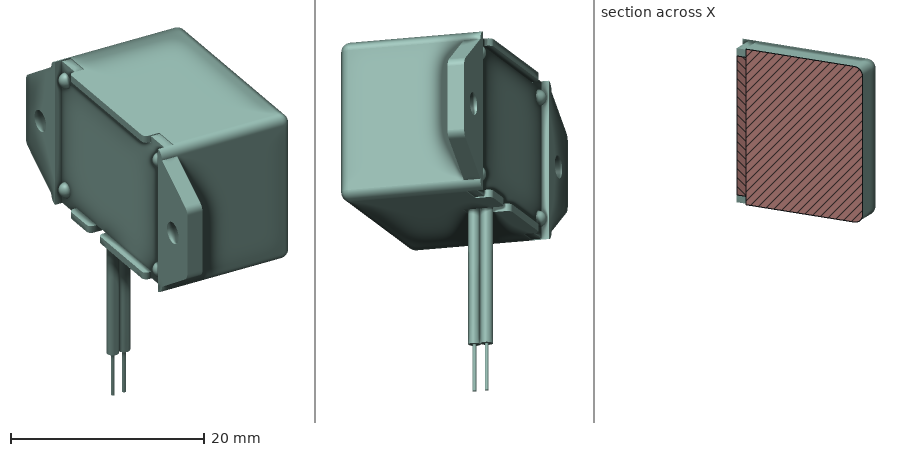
import cadquery as cq
import math

HOUSING_WIDTH = 23.0
HOUSING_DEPTH = 15.5
HOUSING_HEIGHT = 17.0
EDGE_RADIUS = 1.0
WALL = 0.8

OVERALL_WIDTH = 33.5
EAR_THICKNESS = 1.8
EAR_TIP_HEIGHT = 7.98
EAR_CORNER_RADIUS = 1.0
EAR_HOLE_DIAMETER = 2.4
EAR_HOLE_X = 13.75

LID_SETBACK = 0.8
LID_CLEARANCE = 0.1
DOME_RADIUS = 0.87
DOME_X = 9.75
DOME_Z = 6.5

TAB_WIDTH = 15.6
TAB_RADIUS = 0.55
TAB_SIDE_CLEARANCE = 0.05

OVERALL_HEIGHT = 36.25
SHEATH_DIAMETER = 1.3
CONDUCTOR_DIAMETER = 0.4
CONDUCTOR_LENGTH = 5.0
WIRE_X = -2.7
FIRST_WIRE_Y = 2.3
WIRE_SPACING = 1.35
WEB_THICKNESS = 0.3
SLOT_WIDTH = 1.9

HALF_WIDTH = HOUSING_WIDTH / 2
HALF_HEIGHT = HOUSING_HEIGHT / 2
RECESS_WIDTH = HOUSING_WIDTH - 2 * WALL
TAB_Z = HALF_HEIGHT - WALL / 2
WIRE_YS = (FIRST_WIRE_Y, FIRST_WIRE_Y + WIRE_SPACING)
WIRE_TOP = WALL - HALF_HEIGHT
SLOT_DEPTH = WIRE_YS[-1] + SLOT_WIDTH / 2
WIRE_BOTTOM = HALF_HEIGHT - OVERALL_HEIGHT
SHEATH_BOTTOM = WIRE_BOTTOM + CONDUCTOR_LENGTH


def block(width, height, y_start, y_end, x=0, z=0):
    """Box centred on (x, z) that runs from y_start to y_end."""
    return cq.Workplane("XY").box(width, y_end - y_start, height).translate((x, (y_start + y_end) / 2, z))


def upright_rod(diameter, x, y, z_bottom, z_top):
    """Vertical cylinder between two heights."""
    return cq.Workplane("XY", origin=(x, y, z_bottom)).circle(diameter / 2).extrude(z_top - z_bottom)


def make_ears():
    """Tapered plate that forms both ears, running through the housing."""
    root_z = HALF_HEIGHT - EDGE_RADIUS
    tip_x = OVERALL_WIDTH / 2
    tip_z = EAR_TIP_HEIGHT / 2
    outline = [
        (-tip_x, -tip_z), (-HALF_WIDTH, -root_z), (HALF_WIDTH, -root_z), (tip_x, -tip_z),
        (tip_x, tip_z), (HALF_WIDTH, root_z), (-HALF_WIDTH, root_z), (-tip_x, tip_z),
    ]
    plate = cq.Workplane("XZ").polyline(outline).close().extrude(-EAR_THICKNESS)
    plate = plate.edges("|Y and (<X or >X)").fillet(EAR_CORNER_RADIUS)
    holes = cq.Workplane("XZ").pushPoints([(-EAR_HOLE_X, 0), (EAR_HOLE_X, 0)])
    return plate.cut(holes.circle(EAR_HOLE_DIAMETER / 2).extrude(-EAR_THICKNESS))


def make_tabs():
    """Upper and lower wall tabs, the lower one split by the wire slot."""
    half_tab = TAB_WIDTH / 2
    slot_left = WIRE_X - SLOT_WIDTH / 2
    slot_right = WIRE_X + SLOT_WIDTH / 2
    spans = [(-half_tab, half_tab, TAB_Z), (-half_tab, slot_left, -TAB_Z), (slot_right, half_tab, -TAB_Z)]
    tabs = []
    for left, right, z in spans:
        tab = block(right - left, WALL, 0, EAR_THICKNESS, (left + right) / 2, z)
        tabs.append(tab.edges("|Z and <Y").fillet(TAB_RADIUS))
    return tabs


def make_cable():
    """Both wires and the web between them as a single solid."""
    web_height = WIRE_TOP - SHEATH_BOTTOM
    web_z = (WIRE_TOP + SHEATH_BOTTOM) / 2
    cable = block(WEB_THICKNESS, web_height, WIRE_YS[0], WIRE_YS[1], WIRE_X, web_z)
    for y in WIRE_YS:
        cable = cable.union(upright_rod(SHEATH_DIAMETER, WIRE_X, y, SHEATH_BOTTOM, WIRE_TOP))
        cable = cable.union(upright_rod(CONDUCTOR_DIAMETER, WIRE_X, y, WIRE_BOTTOM, SHEATH_BOTTOM))
    return cable


def make_housing():
    body = block(HOUSING_WIDTH, HOUSING_HEIGHT, 0, HOUSING_DEPTH)
    body = body.edges("|Y or >Y").fillet(EDGE_RADIUS).union(make_ears())
    body = body.cut(block(RECESS_WIDTH, HOUSING_HEIGHT, 0, EAR_THICKNESS))
    for tab in make_tabs():
        body = body.union(tab)
    return body.cut(block(SLOT_WIDTH, WALL, 0, SLOT_DEPTH, WIRE_X, -TAB_Z))


def make_dome(x, z):
    """Hemispherical head whose top just reaches the mounting face."""
    middle = (DOME_RADIUS * math.sin(math.pi / 4), DOME_RADIUS * (1 - math.cos(math.pi / 4)))
    rim = (DOME_RADIUS, DOME_RADIUS)
    profile = cq.Workplane("XY").moveTo(0, 0).threePointArc(middle, rim).lineTo(0, DOME_RADIUS).close()
    return profile.revolve(360, (0, 0), (0, 1)).translate((x, 0, z))


def make_lid():
    width = RECESS_WIDTH - 2 * LID_CLEARANCE
    height = HOUSING_HEIGHT - 2 * LID_CLEARANCE
    lid = block(width, height, LID_SETBACK, EAR_THICKNESS)
    for side in (-1, 1):
        z = side * (height - WALL) / 2
        lid = lid.cut(block(TAB_WIDTH + 2 * TAB_SIDE_CLEARANCE, WALL, LID_SETBACK, EAR_THICKNESS, 0, z))
    for x in (-DOME_X, DOME_X):
        for z in (-DOME_Z, DOME_Z):
            lid = lid.union(make_dome(x, z))
    return lid


housing = make_housing()
lid = make_lid()
cable = make_cable()
result = cq.Compound.makeCompound([housing.solids().val(), lid.solids().val(), cable.solids().val()])